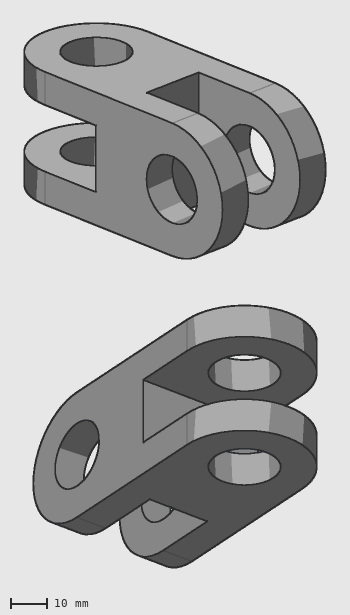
import cadquery as cq

length = 90.0
width = 40.0
hole_diameter = 20.0
slot_gap = width / 2
slot_depth = width

end_radius = width / 2
half_length = length / 2


def fork_cutter():
    """Material to remove for a fork at the -X end whose pin runs along Z."""
    tip = cq.Workplane("XY").box(end_radius, width, width).translate(
        (-half_length + end_radius / 2, 0, 0)
    )
    pin_x = -half_length + end_radius
    round_end = cq.Workplane("XY").center(pin_x, 0).circle(end_radius).extrude(width / 2, both=True)
    pin_hole = cq.Workplane("XY").center(pin_x, 0).circle(hole_diameter / 2).extrude(width / 2, both=True)
    slot = cq.Workplane("XY").box(slot_depth, width, slot_gap).translate(
        (-half_length + slot_depth / 2, 0, 0)
    )
    return tip.cut(round_end).union(pin_hole).union(slot)


left_fork = fork_cutter()
right_fork = left_fork.rotate((0, 0, 0), (0, 0, 1), 180).rotate((0, 0, 0), (1, 0, 0), 90)

result = cq.Workplane("XY").box(length, width, width).cut(left_fork).cut(right_fork)